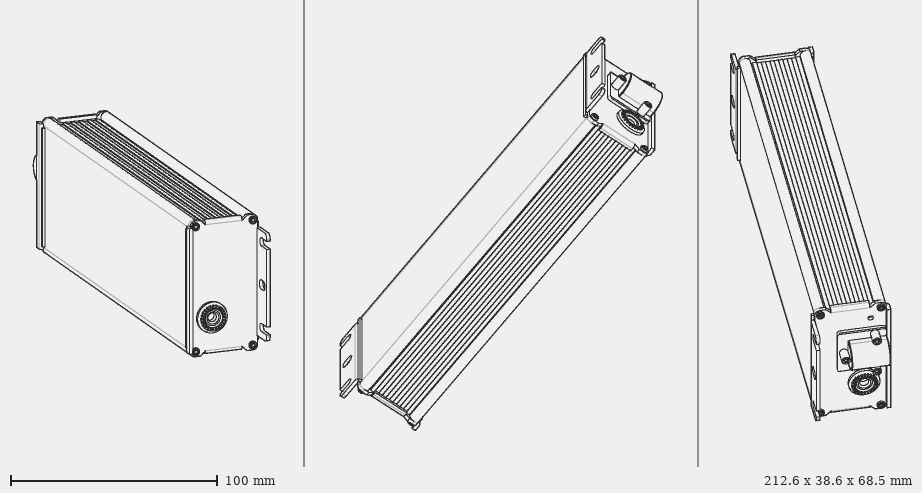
import cadquery as cq

overall_length = 212.6
overall_depth = 38.6
overall_height = 68.51
sheet = 1.9
bend_radius = 0.99 * sheet

plate_outer_x = 94.2
plate_inner_x = plate_outer_x - sheet
plate_depth = 35.3
plate_corner_radius = 2.7
notch_half_width = 9.6
notch_slope_width = 2.6
notch_floor_z = 31.8

foot_half_height = 27.2
foot_corner_radius = 2.5
slot_z = 21.6
slot_width = 4.0
slot_end_x = 97.6
center_slot_x = 100.5
center_slot_length = 7.0
center_slot_width = 4.6
flange_half_height = 31.7
flange_outer_x = 97.3

lip_end_x = 90.9
fold_lip_z = notch_floor_z + sheet
side_lip_y = 18.8
side_lip_half_height = 29.9

boss_radius = 2.7
boss_y = plate_depth / 2 - boss_radius
boss_z = overall_height / 2 - boss_radius
body_face_y = 17.5
fin_top_z = 31.0
fin_depth = 0.5
fin_count = 6
fin_center_y = -0.4
fin_width = 2.13
fin_pitch = 2 * fin_width
wall = 2.0

screw_head_radius = 1.9
screw_head_height = 1.4
screw_head_chamfer = 0.4
screw_socket_size = 2.0
screw_socket_depth = 0.8

gland_y = -6.5
gland_z = -15.0
gland_radius = 7.75
gland_height = 2.7
gland_chamfer = 1.3
gland_funnel_radius = 4.7
gland_funnel_floor_radius = 3.9
gland_funnel_depth = 0.8
gland_ring_radius = 3.1
gland_ring_depth = 1.0
gland_bore_radius = 2.2
gland_tooth_count = 24
gland_tooth_inner_radius = 5.1
gland_tooth_width = 0.6
gland_tooth_depth = 0.8

connector_y = -5.2
connector_z = 7.0
connector_flange_depth = 24.0
connector_flange_height = 24.8
connector_flange_thickness = 2.1
connector_flange_radius = 1.8
connector_flange_chamfer = 0.5
barrel_radius = 7.3
barrel_front_y = -17.5
barrel_back_y = 1.7
barrel_chamfer = 0.4
connector_screw_radius = 2.15
connector_screw_x = 102.7
connector_screw_chamfer = 0.3
connector_socket_size = 2.4
connector_socket_depth = 1.0
connector_screw_spots = [(3.8, 7.0), (-11.5, 16.8), (-11.5, -2.8)]

indicator_y = -9.9
indicator_z = 25.1
indicator_radius = 1.3


def box(x_range, y_range, z_range):
    """Axis-aligned box between the given limits."""
    size = [high - low for low, high in (x_range, y_range, z_range)]
    return cq.Workplane("XY").box(*size, centered=False).translate((x_range[0], y_range[0], z_range[0]))


def end_plane(x):
    """Sketch plane at x facing -X, with local axes (-Y, Z)."""
    return cq.Workplane(cq.Plane(origin=(x, 0, 0), xDir=(0, -1, 0), normal=(-1, 0, 0)))


def end_cylinder(x_start, x_end, y, z, radius):
    """Cylinder along X whose last face looks toward -X."""
    return end_plane(x_start).center(-y, z).circle(radius).extrude(x_start - x_end)


def make_body():
    """Tube with a round screw boss along each corner and fins on both Z faces."""
    body = box((-plate_inner_x, plate_inner_x), (-body_face_y, body_face_y), (-boss_z, boss_z))
    floor_z = fin_top_z - fin_depth
    for side in (-1, 1):
        z_low, z_high = sorted((side * floor_z, side * overall_height / 2))
        body = body.cut(box((-plate_inner_x, plate_inner_x), (-boss_y, boss_y), (z_low, z_high)))
        for index in range(fin_count):
            fin_y = fin_center_y + (index - (fin_count - 1) / 2) * fin_pitch
            fin = box((-plate_inner_x, plate_inner_x), (fin_y - fin_width / 2, fin_y + fin_width / 2),
                      sorted((side * (floor_z - wall / 2), side * fin_top_z)))
            body = body.union(fin)
    cavity_y = body_face_y - wall
    cavity_z = floor_z - wall
    body = body.cut(box((-plate_inner_x, plate_inner_x), (-cavity_y, cavity_y), (-cavity_z, cavity_z)))
    bosses = (
        end_plane(plate_inner_x)
        .rect(2 * boss_y, 2 * boss_z, forConstruction=True)
        .vertices()
        .circle(boss_radius)
        .extrude(2 * plate_inner_x)
    )
    return body.union(bosses)


def make_plate():
    """Flat end plate with rounded corners and a sloped notch in each Z edge."""
    half_height = overall_height / 2
    notch_top = notch_half_width + notch_slope_width
    plate = (
        end_plane(-plate_inner_x)
        .rect(plate_depth, overall_height)
        .extrude(sheet)
        .edges("|X")
        .fillet(plate_corner_radius)
    )
    for side in (-1, 1):
        notch = (
            end_plane(-plate_inner_x)
            .polyline([
                (-notch_top, side * half_height),
                (-notch_half_width, side * notch_floor_z),
                (notch_half_width, side * notch_floor_z),
                (notch_top, side * half_height),
            ])
            .close()
            .extrude(sheet)
        )
        plate = plate.cut(notch)
    return plate


def make_foot():
    """Mounting foot folded outward along the +Y edge, with open and closed slots."""
    half_length = overall_length / 2
    half_depth = overall_depth / 2
    foot = box((-half_length, -plate_inner_x), (half_depth - sheet, half_depth),
               (-foot_half_height, foot_half_height))
    foot = foot.edges("|Y and <X").fillet(foot_corner_radius)
    foot = foot.edges("|Z and >X and >Y").fillet(bend_radius)
    for z in (-slot_z, slot_z):
        round_x = -slot_end_x - slot_width / 2
        slot = box((-half_length, round_x), (0, half_depth), (z - slot_width / 2, z + slot_width / 2))
        slot_end = cq.Workplane("XZ").center(round_x, z).circle(slot_width / 2).extrude(-half_depth)
        foot = foot.cut(slot).cut(slot_end)
    center_slot = (
        cq.Workplane("XZ")
        .center(-center_slot_x, 0)
        .slot2D(center_slot_length, center_slot_width)
        .extrude(-half_depth)
    )
    return foot.cut(center_slot)


def make_front_flange():
    """Short flange folded outward along the -Y edge."""
    half_depth = overall_depth / 2
    flange = box((-flange_outer_x, -plate_inner_x), (-half_depth, sheet - half_depth),
                 (-flange_half_height, flange_half_height))
    return flange.edges("|Z and >X and <Y").fillet(bend_radius)


def make_lips():
    """Lips over the body end: folded ones on the Z sides, flat strips on the Y sides."""
    folded = box((-plate_outer_x, -lip_end_x), (-notch_half_width, notch_half_width),
                 (-fold_lip_z, fold_lip_z))
    folded = folded.edges("|Y and <X").fillet(bend_radius)
    folded = folded.cut(box((-plate_outer_x, -lip_end_x), (-notch_half_width, notch_half_width),
                            (-notch_floor_z, notch_floor_z)))
    strips = box((-plate_inner_x, -lip_end_x), (-side_lip_y, side_lip_y),
                 (-side_lip_half_height, side_lip_half_height))
    strip_opening = box((-plate_inner_x, -lip_end_x), (-body_face_y, body_face_y),
                        (-side_lip_half_height, side_lip_half_height))
    return folded.union(strips.cut(strip_opening))


def make_corner_screw(y, z):
    """Socket-head screw at one corner of the end plate."""
    head_x = -plate_outer_x - screw_head_height
    head = end_cylinder(-plate_outer_x, head_x, y, z, screw_head_radius)
    head = head.faces("<X").chamfer(screw_head_chamfer)
    socket = end_plane(head_x).center(-y, z).polygon(6, screw_socket_size).extrude(-screw_socket_depth)
    return head.cut(socket)


def make_gland():
    """Cable gland disc with a toothed rim and a stepped, funnelled mouth."""
    face = gland_height
    funnel_floor = face - gland_funnel_depth
    gland = (
        cq.Workplane("XZ")
        .polyline([
            (0, 0),
            (gland_radius, 0),
            (gland_radius, face - gland_chamfer),
            (gland_radius - gland_chamfer, face),
            (gland_funnel_radius, face),
            (gland_funnel_floor_radius, funnel_floor),
            (gland_ring_radius, funnel_floor),
            (gland_bore_radius, funnel_floor - gland_ring_depth),
            (0, funnel_floor - gland_ring_depth),
        ])
        .close()
        .revolve(360, (0, 0, 0), (0, 1, 0))
    )
    tooth_gap = box(
        (gland_tooth_inner_radius, gland_radius - gland_chamfer),
        (-gland_tooth_width / 2, gland_tooth_width / 2),
        (face - gland_tooth_depth, face),
    )
    for index in range(gland_tooth_count):
        gland = gland.cut(tooth_gap.rotate((0, 0, 0), (0, 0, 1), index * 360 / gland_tooth_count))
    return gland.rotate((0, 0, 0), (0, 1, 0), -90).translate((-plate_outer_x, gland_y, gland_z))


def make_end():
    """Complete -X end assembly without the connector."""
    end = make_plate().union(make_foot()).union(make_front_flange()).union(make_lips())
    for y in (-boss_y, boss_y):
        for z in (-boss_z, boss_z):
            end = end.union(make_corner_screw(y, z))
    end = end.union(make_gland())
    bore = end_cylinder(0, -overall_length / 2, gland_y, gland_z, gland_bore_radius)
    return end.cut(bore)


def make_connector():
    """Square flange, sideways barrel along Y and three raised screws."""
    flange_x = -plate_outer_x - connector_flange_thickness
    flange = (
        end_plane(-plate_outer_x)
        .center(-connector_y, connector_z)
        .rect(connector_flange_depth, connector_flange_height)
        .extrude(connector_flange_thickness)
        .edges("|Y and <X")
        .chamfer(connector_flange_chamfer)
        .edges("|X")
        .fillet(connector_flange_radius)
    )
    barrel_x = barrel_radius - overall_length / 2
    barrel = (
        cq.Workplane("XZ", origin=(0, barrel_back_y, 0))
        .moveTo(-plate_outer_x, connector_z - barrel_radius)
        .lineTo(barrel_x, connector_z - barrel_radius)
        .threePointArc((barrel_x - barrel_radius, connector_z), (barrel_x, connector_z + barrel_radius))
        .lineTo(-plate_outer_x, connector_z + barrel_radius)
        .close()
        .extrude(barrel_back_y - barrel_front_y)
    )
    barrel = barrel.faces("<Y or >Y").chamfer(barrel_chamfer)
    connector = flange.union(barrel)
    for y, z in connector_screw_spots:
        screw = end_cylinder(flange_x, -connector_screw_x, y, z, connector_screw_radius)
        screw = screw.faces("<X").chamfer(connector_screw_chamfer)
        socket = (
            end_plane(-connector_screw_x)
            .center(-y, z)
            .polygon(6, connector_socket_size)
            .extrude(-connector_socket_depth)
        )
        connector = connector.union(screw).cut(socket)
    return connector


left_end = make_end()
right_end = left_end.mirror("YZ")
indicator_hole = end_cylinder(-plate_inner_x, -plate_outer_x, indicator_y, indicator_z, indicator_radius)
left_end = left_end.cut(indicator_hole)
result = make_body().union(left_end).union(right_end).union(make_connector())